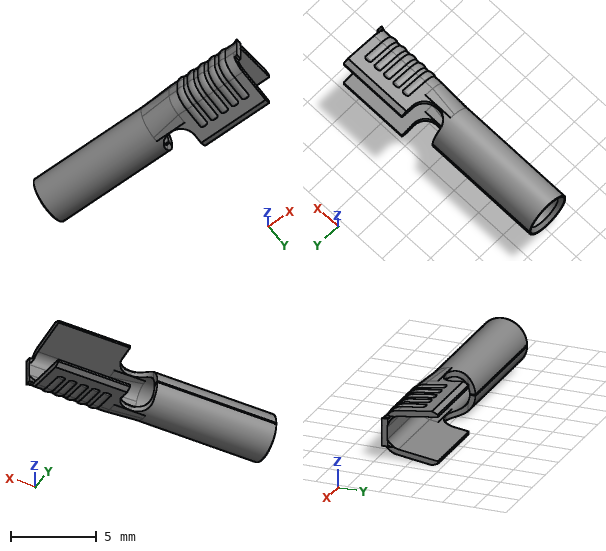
import cadquery as cq
import math


wall = 0.36
barrel_radius = 1.5
bore_radius = barrel_radius - wall
barrel_length = 7.92
mouth_chamfer = 0.26
slit_outer_width = 0.1
slit_inner_width = 0.04

notch_width = 2.06
notch_floor_y = 0.03
notch_corner_radius = 0.97
notch_x = barrel_length + notch_width / 2

crimp_start_x = barrel_length + notch_width
crimp_end_x = 14.74
floor_y = -barrel_radius
floor_half_width = 0.385
corner_radius = 1.028
corner_axis_y = floor_y + corner_radius
wing_lean = math.radians(8.1)
corner_angle = math.pi / 2 - wing_lean
wing_end_y = 1.94
wing_bevel_y = 1.57
wing_end_thickness = 0.16

split_y = 0.0
barrel_floor_half_width = 0.52
barrel_shoulder_y = -0.31

rib_count = 5
rib_first_x = 10.83
rib_pitch = 0.765
rib_radius = 0.51
rib_height = 0.06
rib_end_y = 0.93
rib_end_round = 0.13

tab_end_x = 14.99
tab_half_width = 0.88
tab_inner_y = -1.13
tab_root_rise = 0.22
tab_root_flare = 0.1

clearance = 1.0


def mirrored(point):
    """The same point on the -Z side."""
    return (point[0], -point[1])


def corner_point(angle, inset):
    """Point on a crimp corner; angle is 0 at the floor and corner_angle at the wing."""
    radius = corner_radius - inset
    return (corner_axis_y - radius * math.cos(angle), floor_half_width + radius * math.sin(angle))


def wing_point(y, inset):
    """Point on the straight wing face that lies inset below the outside."""
    face_z = (corner_radius - inset) / math.cos(wing_lean)
    return (y, floor_half_width + face_z + (y - corner_axis_y) * math.tan(wing_lean))


def crimp_section(x, inset, top_points):
    """Closed crimp outline at x; top_points continue the wing from its corner to the top."""
    floor_end = corner_point(0, inset)
    corner_middle = corner_point(corner_angle / 2, inset)
    corner_end = corner_point(corner_angle, inset)
    section = cq.Workplane("YZ", origin=(x, 0, 0)).moveTo(*mirrored(floor_end)).lineTo(*floor_end)
    section = section.threePointArc(corner_middle, corner_end)
    for point in top_points:
        section = section.lineTo(*point)
    for point in reversed(top_points):
        section = section.lineTo(*mirrored(point))
    section = section.lineTo(*mirrored(corner_end))
    return section.threePointArc(mirrored(corner_middle), mirrored(floor_end)).close()


def barrel_section(radius):
    """Lower barrel half at the transition, divided like the crimp section."""
    floor_angle = math.asin(barrel_floor_half_width / barrel_radius)
    shoulder_angle = math.acos(-barrel_shoulder_y / barrel_radius)
    top_angle = math.acos(-split_y / barrel_radius)

    def rim(angle):
        return (-radius * math.cos(angle), radius * math.sin(angle))

    section = cq.Workplane("YZ", origin=(barrel_length, 0, 0)).moveTo(*rim(-floor_angle))
    section = section.threePointArc(rim(0), rim(floor_angle))
    section = section.threePointArc(rim((floor_angle + shoulder_angle) / 2), rim(shoulder_angle))
    section = section.threePointArc(rim((shoulder_angle + top_angle) / 2), rim(top_angle))
    section = section.lineTo(*rim(-top_angle))
    section = section.threePointArc(rim(-(shoulder_angle + top_angle) / 2), rim(-shoulder_angle))
    section = section.threePointArc(rim(-(floor_angle + shoulder_angle) / 2), rim(-floor_angle))
    return section.close()


def ruled_loft(first, last):
    wires = [first.wires().val(), last.wires().val()]
    return cq.Workplane(cq.Solid.makeLoft(wires, True))


def block(x_range, y_range, half_height):
    """Axis-aligned box, symmetric in Z."""
    length = x_range[1] - x_range[0]
    depth = y_range[1] - y_range[0]
    box = cq.Workplane().box(length, depth, 2 * half_height, centered=(False, False, True))
    return box.translate((x_range[0], y_range[0], 0))


def make_barrel():
    """Slit tube; its upper half runs on to the middle of the notch."""
    barrel = cq.Workplane("YZ").circle(barrel_radius).extrude(notch_x)
    barrel = barrel.cut(cq.Workplane("YZ").circle(bore_radius).extrude(notch_x))
    mouth = cq.Solid.makeCone(
        bore_radius + mouth_chamfer, bore_radius, mouth_chamfer, dir=cq.Vector(1, 0, 0)
    )
    barrel = barrel.cut(cq.Workplane(mouth))
    lower_end = block((barrel_length, notch_x), (-2 * barrel_radius, split_y), 2 * barrel_radius)
    slit = cq.Workplane("YZ").moveTo(bore_radius, slit_inner_width / 2)
    slit = slit.lineTo(barrel_radius, slit_outer_width / 2).lineTo(barrel_radius, -slit_outer_width / 2)
    slit = slit.lineTo(bore_radius, -slit_inner_width / 2).close().extrude(notch_x)
    return barrel.cut(lower_end).cut(slit)


def make_transition():
    """Shell blending the lower half of the barrel into the crimp floor."""
    outside = ruled_loft(
        barrel_section(barrel_radius), crimp_section(crimp_start_x, 0, [wing_point(split_y, 0)])
    )
    inside = ruled_loft(
        barrel_section(bore_radius), crimp_section(crimp_start_x, wall, [wing_point(split_y, wall)])
    )
    return outside.cut(inside)


def crimp_cavity():
    """Space between the wings, open towards +Y."""
    opening = [wing_point(wing_end_y + clearance, wall)]
    return crimp_section(notch_x, wall, opening).extrude(tab_end_x - notch_x)


def make_crimp():
    """U-shaped crimp; its wings start at the middle of the notch."""
    inner_tip = wing_point(wing_end_y, wall)
    outer_tip = (inner_tip[0], inner_tip[1] + wing_end_thickness)
    wing_top = [wing_point(wing_bevel_y, 0), outer_tip]
    crimp = crimp_section(notch_x, 0, wing_top).extrude(crimp_end_x - notch_x).cut(crimp_cavity())
    floor_start = block((notch_x, crimp_start_x), (-2 * barrel_radius, split_y), 2 * barrel_radius)
    return crimp.cut(floor_start)


def make_rib(x):
    """Round bar bent around the crimp, with its axis below the outer surface."""
    axis_inset = rib_radius - rib_height
    floor_end = corner_point(0, axis_inset)
    corner_middle = corner_point(corner_angle / 2, axis_inset)
    corner_end = corner_point(corner_angle, axis_inset)
    bar_end = wing_point(rib_end_y, axis_inset)
    path = cq.Workplane("YZ", origin=(x, 0, 0)).moveTo(*mirrored(bar_end))
    path = path.lineTo(*mirrored(corner_end)).threePointArc(mirrored(corner_middle), mirrored(floor_end))
    path = path.lineTo(*floor_end).threePointArc(corner_middle, corner_end).lineTo(*bar_end)
    start = cq.Vector(x, *mirrored(bar_end))
    along_wing = cq.Vector(0, -math.cos(wing_lean), math.sin(wing_lean))
    bar = cq.Workplane(cq.Plane(start, (1, 0, 0), along_wing)).circle(rib_radius).sweep(path)
    return bar.faces("%PLANE").edges().fillet(rib_end_round)


def make_tab():
    """Short carrier tab: curved like the crimp at its root and flat at its end."""
    root_half_width = tab_half_width + tab_root_flare
    root_angle = math.asin((root_half_width - floor_half_width) / corner_radius)
    root_corner = corner_point(root_angle, 0)
    root_middle = corner_point(root_angle / 2, 0)
    floor_edge = corner_point(0, 0)
    upper_edge = (corner_axis_y, root_half_width)

    root = cq.Workplane("YZ", origin=(crimp_end_x, 0, 0)).moveTo(*mirrored(floor_edge))
    root = root.lineTo(*floor_edge).threePointArc(root_middle, root_corner).lineTo(*upper_edge)
    root = root.lineTo(*mirrored(upper_edge)).lineTo(*mirrored(root_corner))
    root = root.threePointArc(mirrored(root_middle), mirrored(floor_edge)).close()
    end_corner = (floor_y, root_half_width)
    end = cq.Workplane("YZ", origin=(tab_end_x, 0, 0)).moveTo(*mirrored(floor_edge))
    end = end.lineTo(*floor_edge).lineTo(*end_corner).lineTo(*upper_edge)
    end = end.lineTo(*mirrored(upper_edge)).lineTo(*mirrored(end_corner)).close()

    flare_end_x = crimp_end_x + tab_root_flare
    plan = cq.Workplane("XZ").moveTo(crimp_end_x, -root_half_width)
    plan = plan.radiusArc((flare_end_x, -tab_half_width), -tab_root_flare)
    plan = plan.lineTo(tab_end_x, -tab_half_width).lineTo(tab_end_x, tab_half_width)
    plan = plan.lineTo(flare_end_x, tab_half_width)
    plan = plan.radiusArc((crimp_end_x, root_half_width), -tab_root_flare).close()

    rise_end_x = crimp_end_x + tab_root_rise
    side = cq.Workplane("XY").moveTo(crimp_end_x, floor_y).lineTo(tab_end_x, floor_y)
    side = side.lineTo(tab_end_x, tab_inner_y).lineTo(rise_end_x, tab_inner_y)
    side = side.radiusArc((crimp_end_x, tab_inner_y + tab_root_rise), tab_root_rise).close()

    tab = ruled_loft(root, end)
    tab = tab.intersect(plan.extrude(2 * barrel_radius, both=True))
    return tab.intersect(side.extrude(root_half_width, both=True))


def make_notch():
    """Cut through both sides, open towards +Y, with rounded floor corners."""
    cut_y = (notch_floor_y, wing_end_y + clearance)
    notch = block((barrel_length, crimp_start_x), cut_y, barrel_radius + clearance)
    return notch.edges("|Z and <Y").fillet(notch_corner_radius)


cavity = crimp_cavity()
result = make_barrel().union(make_transition()).union(make_crimp())
for index in range(rib_count):
    rib = make_rib(rib_first_x + index * rib_pitch)
    result = result.union(rib.cut(cavity))
result = result.cut(make_notch()).union(make_tab().cut(cavity))